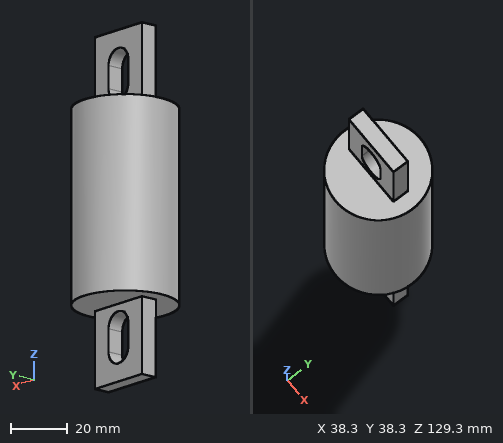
import cadquery as cq

total_length = 129.3
body_diameter = 38.3
body_length = 72.1

blade_width = 25.5
blade_thickness = 6.5

slot_width = 10.6
slot_length = 19.1
slot_end_margin = 6.7
slot_center_height = total_length / 2 - slot_end_margin - slot_length / 2


def make_body():
    """Cylindrical body centred on the origin, axis along Z."""
    return cq.Workplane("XY").cylinder(body_length, body_diameter / 2)


def make_blade():
    """Flat blade with one lengthwise slot through each end."""
    blade = cq.Workplane("XY").box(blade_width, blade_thickness, total_length)
    slots = (
        cq.Workplane("XZ")
        .pushPoints([(0, slot_center_height), (0, -slot_center_height)])
        .slot2D(slot_length, slot_width, 90)
        .extrude(blade_thickness, both=True)
    )
    return blade.cut(slots)


result = make_body().union(make_blade())